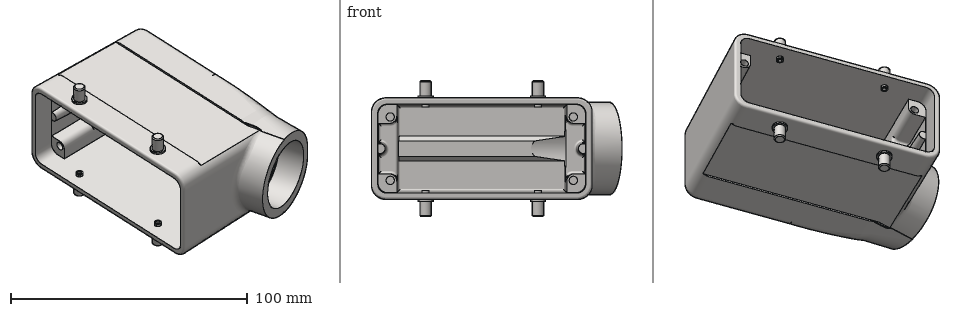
import cadquery as cq
import math

DRAFT = 1.0
BODY_LENGTH = 93.4
BODY_WIDTH = 43.1
BODY_DEPTH = 62.7
CORNER_RADIUS = 6.2
ROOF_RADIUS = 3.5
RIM_RADIUS = 1.0

MOUTH_ANGLE = 15.7
MOUTH_RADIUS = 19.5
MOUTH_BOTTOM = (59.34, 33.5)
OVERALL_DEPTH = 70.13
MOUTH_HALF_WIDTH = 19.65
MOUTH_FLAT = 2.0
SHOULDER_OFFSET = 1.1
HOOD_START = 12.6
HOOD_RUN_IN = 10.0
HOOD_OVERLAP = 0.5
HOOD_BEND = 33.0
HOOD_BEND_TOP = 65.15
HOOD_BEND_CORNER = (11.0, 9.8)
HOOD_STEP = 38.0
NECK_LENGTH = 30.0
NECK_FILLET = 2.5
BORE_DIAMETER = 28.0
THREAD_DIAMETER = 30.4
THREAD_DEPTH = 12.0
BORE_LENGTH = 40.0

PANEL_DEPTH = 0.85
PANEL_START = 12.8
PANEL_END = 46.35

RIM_OPENING = (88.0, 37.6)
RIM_OPENING_RADIUS = 4.0
POST_TOP = 9.3
CAVITY_LENGTH = 72.2
CAVITY_WIDTH = RIM_OPENING[1]
CAVITY_DEPTH = 60.7
CAVITY_FILLET = 0.7
POCKET_LENGTH = 87.6
POCKET_WIDTH = 21.7
POCKET_DEPTH = 27.0
POCKET_FILLET = 0.9
POST_FILLET = 3.0
POST_HOLE_DIAMETER = 3.5
POST_HOLE_DEPTH = 10.0
POST_HOLES = (38.7, 13.4)
END_RIB_DIAMETER = 5.99
END_RIB_DRAFT = 3.0
END_RIB_X = 42.9
END_RIB_TOP = 9.0
RIDGE_FOOT = 5.3
RIDGE_CREST = 3.25
RIDGE_HEIGHT = 3.2

PIN_X = 23.75
PIN_Y = 6.35
PIN_SPAN = 57.45
PIN_DIAMETER = 4.9
PIN_CHAMFER = 0.5
COLLAR_DIAMETER = 6.5
COLLAR_SPAN = 44.6
RIVET_DIAMETER = 3.0
RIVET_SPAN = 35.2
RIVET_HOLE_DIAMETER = 1.9
RIVET_HOLE_DEPTH = 1.0

EDGE_REACH = 1.5
FLOOR_REACH = 0.1

SLOPE = math.tan(math.radians(DRAFT))
COS = math.cos(math.radians(MOUTH_ANGLE))
SIN = math.sin(math.radians(MOUTH_ANGLE))
MOUTH_HEIGHT = (OVERALL_DEPTH - MOUTH_BOTTOM[1]) / COS
MOUTH_CENTER = (MOUTH_BOTTOM[0] - MOUTH_RADIUS * SIN, MOUTH_BOTTOM[1] + MOUTH_RADIUS * COS)
CROWN = MOUTH_HEIGHT - MOUTH_RADIUS


def depth_plane(y):
    """Plane across the hood at depth y, extruding towards +Y."""
    return cq.Plane(origin=(0, y, 0), xDir=(1, 0, 0), normal=(0, 1, 0))


def entry_plane(x, y, angle):
    """Section plane of the cable entry; local x is -Z and local y points up the section."""
    a = math.radians(angle)
    return cq.Plane(origin=(x, y, 0), xDir=(0, 0, -1), normal=(math.cos(a), math.sin(a), 0))


def block(size, depth):
    """Drafted block from the open face inwards."""
    return cq.Workplane(depth_plane(0)).rect(*size).extrude(depth, taper=DRAFT)


def body_half_width(y):
    return BODY_WIDTH / 2 - y * SLOPE


def shoulder_y(x):
    """Height of the hood's underside line, which runs parallel to the entry axis."""
    start_x = MOUTH_CENTER[0] + SHOULDER_OFFSET * SIN
    start_y = MOUTH_CENTER[1] - SHOULDER_OFFSET * COS
    return start_y + (x - start_x) * SIN / COS


def make_body():
    """Drafted outer block with rounded edges."""
    body = block((BODY_LENGTH, BODY_WIDTH), BODY_DEPTH)
    long_edges = body.faces("<X or >X").edges("<Z or >Z")
    body = long_edges.fillet(CORNER_RADIUS)
    body = body.faces(">Y").edges().fillet(ROOF_RADIUS)
    return body.faces("<Y").edges().fillet(RIM_RADIUS)


def hood_section(plane, bottom_half_width, half_width, corner, top):
    """Closed section: sides from local y = 0, elliptic corners and a flat crown."""
    across, up = corner
    return (
        cq.Workplane(plane)
        .moveTo(-bottom_half_width, 0)
        .lineTo(bottom_half_width, 0)
        .lineTo(half_width, top - up)
        .ellipseArc(across, up, 0, 90, sense=1)
        .lineTo(across - half_width, top)
        .ellipseArc(across, up, 90, 180, sense=1)
        .close()
        .val()
    )


def flush_hood_section(x, corner, top_y):
    """Upright hood section whose sides are flush with the body."""
    base = shoulder_y(x)
    spring_y = top_y - corner[1]
    plane = entry_plane(x, base, 0)
    return hood_section(plane, body_half_width(base), body_half_width(spring_y), corner, top_y - base)


def blend(start, end, fraction):
    return start + (end - start) * fraction


def make_entry_hood():
    """Curved run from the roof, then a straight run that narrows to the mouth."""
    roof_corner = (ROOF_RADIUS, ROOF_RADIUS)
    hidden_start = flush_hood_section(HOOD_START - HOOD_RUN_IN, roof_corner, BODY_DEPTH)
    start = flush_hood_section(HOOD_START, roof_corner, BODY_DEPTH)
    bend = flush_hood_section(HOOD_BEND, HOOD_BEND_CORNER, HOOD_BEND_TOP)

    mouth_x = MOUTH_CENTER[0] + SHOULDER_OFFSET * SIN
    mouth_plane = entry_plane(mouth_x, shoulder_y(mouth_x), MOUTH_ANGLE)
    mouth_corner = (MOUTH_HALF_WIDTH - MOUTH_FLAT, CROWN)
    mouth_top = CROWN + SHOULDER_OFFSET
    mouth = hood_section(mouth_plane, MOUTH_HALF_WIDTH, MOUTH_HALF_WIDTH, mouth_corner, mouth_top)

    fraction = (HOOD_STEP - HOOD_BEND) / (mouth_x - HOOD_BEND)
    step_corner = [blend(a, b, fraction) for a, b in zip(HOOD_BEND_CORNER, mouth_corner)]
    step_top = blend(HOOD_BEND_TOP - shoulder_y(HOOD_BEND), mouth_top, fraction)
    step_angle = MOUTH_ANGLE * fraction
    step_plane = entry_plane(HOOD_STEP, shoulder_y(HOOD_STEP), step_angle)
    step = hood_section(step_plane, MOUTH_HALF_WIDTH, MOUTH_HALF_WIDTH, step_corner, step_top)

    curved_run = cq.Workplane(cq.Solid.makeLoft([hidden_start, start, bend]))
    straight_run = cq.Workplane(cq.Solid.makeLoft([bend, step, mouth], True))
    return curved_run.union(straight_run)


def make_hood_clearance():
    """Corner of the body that the entry hood replaces."""
    far_x = BODY_LENGTH
    far_y = OVERALL_DEPTH + far_x
    return (
        cq.Workplane("XY", origin=(0, 0, -BODY_WIDTH))
        .polyline(
            [
                (HOOD_START, shoulder_y(HOOD_START) + HOOD_OVERLAP),
                (far_x, shoulder_y(far_x) + HOOD_OVERLAP),
                (far_x, far_y),
                (HOOD_START, far_y),
            ]
        )
        .close()
        .extrude(2 * BODY_WIDTH)
    )


def make_neck():
    """Round neck, without the crown that the entry hood replaces."""
    mouth = cq.Workplane(entry_plane(*MOUTH_CENTER, MOUTH_ANGLE))
    neck = mouth.circle(MOUTH_RADIUS).extrude(-NECK_LENGTH)
    lower_half = mouth.center(0, -MOUTH_RADIUS).rect(2 * MOUTH_RADIUS, 2 * MOUTH_RADIUS)
    return neck.intersect(lower_half.extrude(-NECK_LENGTH))


def fillet_neck(shell):
    """Round the corner where the underside of the neck meets the end wall."""
    corner_x = BODY_LENGTH / 2
    corner_y = MOUTH_BOTTOM[1]
    reach = CORNER_RADIUS
    nearby = cq.selectors.BoxSelector(
        (corner_x - reach, corner_y - reach, -reach),
        (corner_x + reach, corner_y + reach, reach),
    )
    return shell.edges(nearby).fillet(NECK_FILLET)


def make_panel_cut(side):
    """Everything outside the recessed plane of one broad side."""
    start_z = body_half_width(PANEL_START) - PANEL_DEPTH
    outside = BODY_WIDTH
    far_x = BODY_LENGTH
    bend_x = MOUTH_CENTER[0] - (shoulder_y(MOUTH_CENTER[0]) - PANEL_END) * COS / SIN
    far_y = shoulder_y(far_x)
    far_end_z = body_half_width(far_y) - PANEL_DEPTH
    wedge = (
        cq.Workplane("YZ", origin=(-far_x, 0, 0))
        .polyline([(PANEL_START, start_z), (far_y, far_end_z), (far_y, outside), (PANEL_START, outside)])
        .close()
        .extrude(2 * far_x)
    )
    outline = (
        cq.Workplane("XY")
        .polyline(
            [
                (-far_x, PANEL_START),
                (far_x, PANEL_START),
                (far_x, far_y),
                (bend_x, PANEL_END),
                (-far_x, PANEL_END),
            ]
        )
        .close()
        .extrude(outside)
    )
    cut = wedge.intersect(outline)
    return cut if side > 0 else cut.mirror("XY")


def make_cavity():
    """Inside space: wide rim, deep middle and a pocket between the posts at each end."""
    rim = block(RIM_OPENING, POST_TOP).edges("not (#Y)").fillet(RIM_OPENING_RADIUS)
    center = block((CAVITY_LENGTH, CAVITY_WIDTH), CAVITY_DEPTH)
    pockets = block((POCKET_LENGTH, POCKET_WIDTH), POCKET_DEPTH)
    center = center.faces(">Y").edges().fillet(CAVITY_FILLET)
    cavity = center.union(pockets)
    for x in (-1, 1):
        for z in (-1, 1):
            edge_x = x * CAVITY_LENGTH / 2
            edge_z = z * POCKET_WIDTH / 2
            near = cq.selectors.BoxSelector(
                (edge_x - EDGE_REACH, EDGE_REACH, edge_z - EDGE_REACH),
                (edge_x + EDGE_REACH, POCKET_DEPTH - EDGE_REACH, edge_z + EDGE_REACH),
            )
            cavity = cavity.edges(near).fillet(POST_FILLET)
    for x in (-END_RIB_X, END_RIB_X):
        cavity = cavity.cut(make_end_rib(x))
    floor_edges = cq.selectors.BoxSelector(
        (-BODY_LENGTH, POCKET_DEPTH - FLOOR_REACH, -BODY_WIDTH),
        (BODY_LENGTH, POCKET_DEPTH + FLOOR_REACH, BODY_WIDTH),
    )
    cavity = cavity.edges(floor_edges).fillet(POCKET_FILLET)
    return cavity.union(rim).cut(make_roof_ridge())


def make_end_rib(x):
    """Drafted round rib that stands on a pocket floor against the end wall."""
    plane = cq.Plane(origin=(x, POCKET_DEPTH, 0), xDir=(1, 0, 0), normal=(0, -1, 0))
    rib = cq.Workplane(plane).circle(END_RIB_DIAMETER / 2)
    return rib.extrude(POCKET_DEPTH - END_RIB_TOP, taper=END_RIB_DRAFT)


def make_roof_ridge():
    """Ridge along the middle of the cavity roof."""
    crest_y = CAVITY_DEPTH - RIDGE_HEIGHT
    return (
        cq.Workplane("YZ", origin=(-CAVITY_LENGTH / 2, 0, 0))
        .polyline(
            [
                (CAVITY_DEPTH, -RIDGE_FOOT),
                (crest_y, -RIDGE_CREST),
                (crest_y, RIDGE_CREST),
                (CAVITY_DEPTH, RIDGE_FOOT),
            ]
        )
        .close()
        .extrude(CAVITY_LENGTH)
    )


def make_post_holes():
    x, z = POST_HOLES
    places = [(sx * x, sz * z) for sx in (-1, 1) for sz in (-1, 1)]
    holes = cq.Workplane(depth_plane(POST_TOP)).pushPoints(places)
    return holes.circle(POST_HOLE_DIAMETER / 2).extrude(POST_HOLE_DEPTH)


def make_bore():
    """Cable passage with a wider thread bore at the mouth."""
    mouth = cq.Workplane(entry_plane(*MOUTH_CENTER, MOUTH_ANGLE))
    bore = mouth.circle(BORE_DIAMETER / 2).extrude(-BORE_LENGTH)
    return bore.union(mouth.circle(THREAD_DIAMETER / 2).extrude(-THREAD_DEPTH))


def make_pin(x, side):
    """Locking pin with a collar outside and a hollow rivet end inside the wall."""
    wall_middle = (COLLAR_SPAN + RIVET_SPAN) / 4

    def rod(diameter, z_start, z_end):
        base = cq.Workplane("XY", origin=(x, PIN_Y, z_start))
        return base.circle(diameter / 2).extrude(z_end - z_start)

    shank = rod(PIN_DIAMETER, wall_middle, PIN_SPAN / 2).faces(">Z").chamfer(PIN_CHAMFER)
    collar = rod(COLLAR_DIAMETER, wall_middle, COLLAR_SPAN / 2)
    rivet = rod(RIVET_DIAMETER, RIVET_SPAN / 2, wall_middle)
    hole = rod(RIVET_HOLE_DIAMETER, RIVET_SPAN / 2, RIVET_SPAN / 2 + RIVET_HOLE_DEPTH)
    pin = shank.union(collar).union(rivet).cut(hole)
    return pin if side > 0 else pin.mirror("XY")


shell = make_body().union(make_neck())
shell = fillet_neck(shell)
shell = shell.cut(make_hood_clearance()).union(make_entry_hood())
for side in (-1, 1):
    shell = shell.cut(make_panel_cut(side))
shell = shell.cut(make_cavity()).cut(make_post_holes()).cut(make_bore())
for x in (-PIN_X, PIN_X):
    for side in (-1, 1):
        shell = shell.union(make_pin(x, side))

result = shell